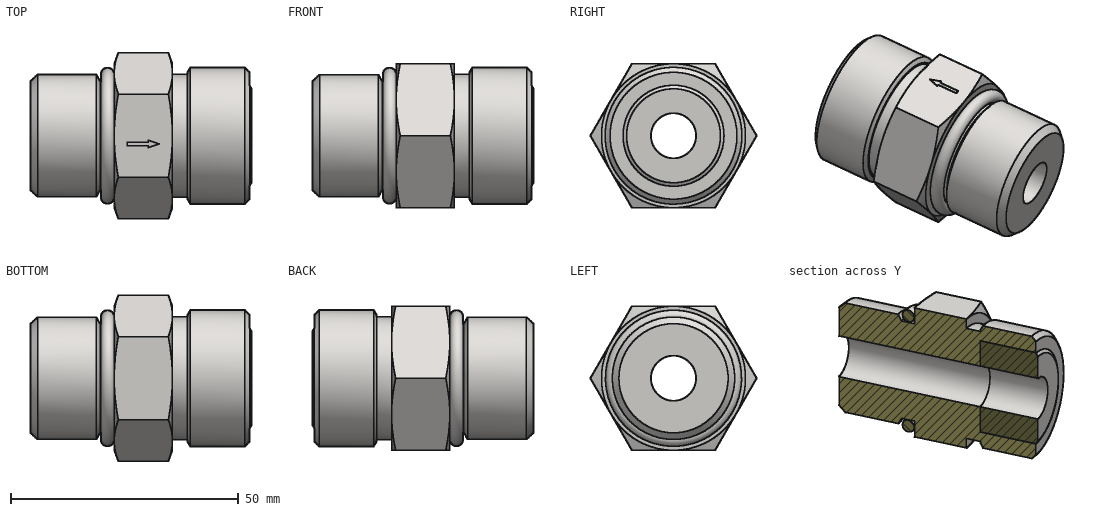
import cadquery as cq
import math


stud_thread_end = 14.5
hex_start = 18.45
hex_end = 31.3
neck_end = 34.6
port_end = 48.3
overall_length = 48.7

stud_diameter = 27.0
groove_diameter = 24.05
stud_tip_diameter = 24.05
neck_diameter = 27.2
port_diameter = 30.15
port_rim_diameter = 27.95
bore_diameter = 9.9

stud_chamfer_length = 1.55
port_chamfer_length = 1.05
runout_angle = 30.0

hex_across_flats = 31.75
hex_across_corners = hex_across_flats / math.cos(math.radians(30))
hex_chamfer_angle = 20.0

seal_section = 2.95

insert_diameter = 22.25
insert_tip_diameter = 20.7
insert_seat = neck_end

arrow_tail = 21.3
arrow_neck = 25.9
arrow_tip = 28.35
arrow_y = -1.8
arrow_shaft_width = 0.8
arrow_head_width = 1.65
arrow_depth = 0.1


def turned(profile):
    """Revolve a list of (station, radius) points about the X axis."""
    return cq.Workplane("XY").polyline(profile).close().revolve(360, (0, 0, 0), (1, 0, 0))


def runout_length(large_diameter, small_diameter):
    return (large_diameter - small_diameter) / 2 * math.tan(math.radians(runout_angle))


def make_turned_blank():
    """Stud, seal groove, neck and port, without the hexagon and the bores."""
    stud_radius = stud_diameter / 2
    groove_radius = groove_diameter / 2
    neck_radius = neck_diameter / 2
    port_radius = port_diameter / 2
    port_rim_radius = port_rim_diameter / 2
    groove_start = stud_thread_end + runout_length(stud_diameter, groove_diameter)
    port_start = neck_end + runout_length(port_diameter, port_rim_diameter)
    return turned([
        (0, 0),
        (0, stud_tip_diameter / 2),
        (stud_chamfer_length, stud_radius),
        (stud_thread_end, stud_radius),
        (groove_start, groove_radius),
        (hex_start, groove_radius),
        (hex_start, neck_radius),
        (neck_end, neck_radius),
        (neck_end, port_rim_radius),
        (port_start, port_radius),
        (port_end - port_chamfer_length, port_radius),
        (port_end, port_rim_radius),
        (port_end, 0),
    ])


def make_hexagon():
    """Hexagon with flats facing +Z and -Z, its corners turned down at both ends."""
    prism = (
        cq.Workplane("YZ", origin=(hex_start, 0, 0))
        .polygon(6, hex_across_corners)
        .extrude(hex_end - hex_start)
    )
    flat_radius = hex_across_flats / 2
    corner_radius = hex_across_corners / 2
    chamfer_length = (corner_radius - flat_radius) * math.tan(math.radians(hex_chamfer_angle))
    envelope = turned([
        (hex_start, 0),
        (hex_start, flat_radius),
        (hex_start + chamfer_length, corner_radius),
        (hex_end - chamfer_length, corner_radius),
        (hex_end, flat_radius),
        (hex_end, 0),
    ])
    return prism.intersect(envelope)


def make_flow_arrow():
    """Arrow pointing to +X, as the shallow volume to remove from the top flat."""
    half_shaft = arrow_shaft_width / 2
    half_head = arrow_head_width / 2
    return (
        cq.Workplane("XY", origin=(0, arrow_y, hex_across_flats / 2))
        .polyline([
            (arrow_tail, -half_shaft),
            (arrow_neck, -half_shaft),
            (arrow_neck, -half_head),
            (arrow_tip, 0),
            (arrow_neck, half_head),
            (arrow_neck, half_shaft),
            (arrow_tail, half_shaft),
        ])
        .close()
        .extrude(-arrow_depth)
    )


def make_housing():
    bore = cq.Workplane("YZ").circle(bore_diameter / 2).extrude(overall_length)
    insert_recess = (
        cq.Workplane("YZ", origin=(insert_seat, 0, 0))
        .circle(insert_diameter / 2)
        .extrude(overall_length - insert_seat)
    )
    blank = make_turned_blank().union(make_hexagon())
    return blank.cut(bore).cut(insert_recess).cut(make_flow_arrow())


def make_seal_ring():
    """O-ring resting on the groove floor and against the hexagon."""
    section_radius = seal_section / 2
    ring_radius = groove_diameter / 2 + section_radius
    ring = cq.Solid.makeTorus(
        ring_radius,
        section_radius,
        cq.Vector(hex_start - section_radius, 0, 0),
        cq.Vector(1, 0, 0),
    )
    return cq.Workplane(ring)


def make_insert():
    """Sleeve that continues the bore and stands out of the port with a chamfered tip."""
    bore_radius = bore_diameter / 2
    insert_radius = insert_diameter / 2
    return turned([
        (insert_seat, bore_radius),
        (insert_seat, insert_radius),
        (port_end, insert_radius),
        (overall_length, insert_tip_diameter / 2),
        (overall_length, bore_radius),
    ])


housing = make_housing()
seal_ring = make_seal_ring()
insert = make_insert()

result = cq.Compound.makeCompound([housing.val(), seal_ring.val(), insert.val()])